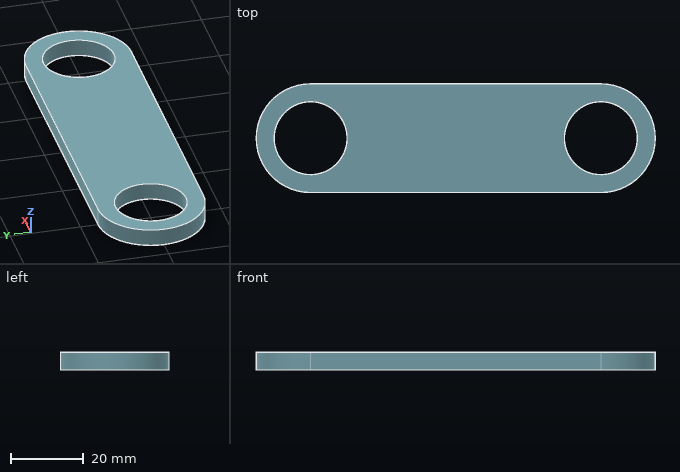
import cadquery as cq

length = 110.0
width = 30.0
thickness = 5.0
hole_diameter = 20.0

hole_spacing = length - width

plate = cq.Workplane("XY").slot2D(length, width).extrude(thickness)

result = (
    plate.faces(">Z")
    .workplane()
    .rarray(hole_spacing, 1.1, 2, 1)
    .hole(hole_diameter)
)